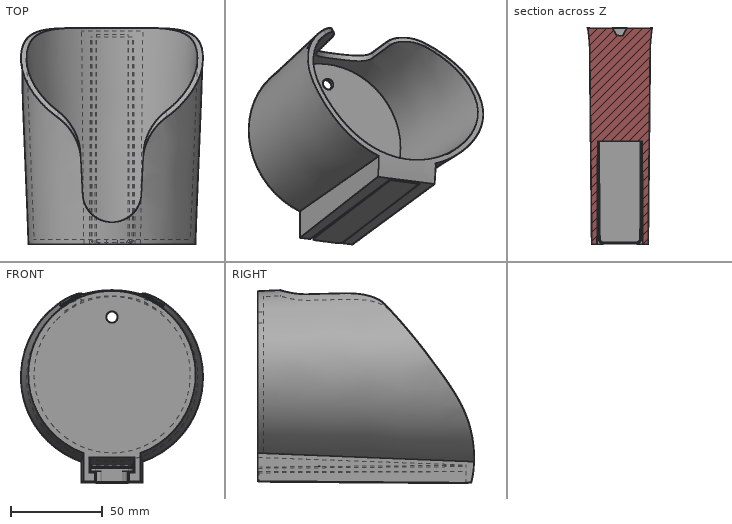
import cadquery as cq
length = 118.0
base_radius = 45.5
cone_slope = 0.041
wall = 3.1
floor_thickness = 3.0
overrun = 5.9

hole_diameter = 6.0
hole_height = 31.3

mouth_corner = (75.8, 31.3)
mouth_curve = [
    (114.5, -65.3),
    (length, -44.8),
    (112.9, -20.6),
    (100.5, 0),
    mouth_corner,
    (36.6, 68.4),
]

notch_start = 12.2
notch_radius = 16.0
notch_bottom = 11.8
notch_top = 59.0
notch_flare = 0.05
notch_corner_radius = 11.8

block_top = -35.4
block_front_half = 15.5
block_back_half = 16.8
block_front_bottom = -58.0
block_back_bottom = -59.0

rail_front = 0.5
rail_back = 114.5
flange_half = 11.6
stem_half = 8.6
flange_bottom = -52.6
rail_front_top = -50.3
rail_back_top = -49.3
rail_front_bottom = -58.5
rail_back_bottom = -59.4
rail_nose_radius = 2.6
rail_nose_chamfer = 0.7

slot_back = 113.3
slot_front_top = -45.1
clearance_front = 0.8
clearance_back = 0.1


def cone_radius(y):
    return base_radius + cone_slope * y


def cone(offset, y_start, y_end):
    """Solid cone on the Y axis, its radius reduced by offset."""
    return (
        cq.Workplane("XY")
        .moveTo(0, y_start)
        .lineTo(offset - cone_radius(y_start), y_start)
        .lineTo(offset - cone_radius(y_end), y_end)
        .lineTo(0, y_end)
        .close()
        .revolve(360, (0, 0, 0), (0, 1, 0))
    )


def loft_between(front_y, front_outline, back_y, back_outline):
    """Ruled solid between two XZ outlines of (x, z) points."""
    wires = []
    for y, outline in ((front_y, front_outline), (back_y, back_outline)):
        wires.append(cq.Wire.makePolygon([cq.Vector(x, y, z) for x, z in outline], close=True))
    return cq.Workplane(cq.Solid.makeLoft(wires, True))


def box_outline(half, bottom, top):
    return [(-half, bottom), (half, bottom), (half, top), (-half, top)]


def tee_outline(top, bottom, clearance):
    """T outline around the rail, widened by clearance at the sides and under the flange."""
    stem = stem_half + clearance
    flange = flange_half + clearance
    shelf = flange_bottom - clearance
    right = [(stem, bottom), (stem, shelf), (flange, shelf), (flange, top)]
    return right + [(-x, z) for x, z in reversed(right)]


def block():
    return loft_between(
        0, box_outline(block_front_half, block_front_bottom, block_top),
        length + overrun, box_outline(block_back_half, block_back_bottom, block_top),
    )


def mouth_cutter():
    """Everything in front of the swept-back mouth curve, drawn in the YZ plane."""
    far = length + 2 * overrun
    half_span = cone_radius(far)
    low_point = mouth_curve[0]
    high_point = mouth_curve[-1]
    return (
        cq.Workplane("YZ", origin=(-half_span, 0, 0))
        .moveTo(*low_point)
        .spline(mouth_curve[1:], includeCurrent=True)
        .lineTo(far, high_point[1])
        .lineTo(far, low_point[1])
        .close()
        .extrude(2 * half_span)
    )


def notch_cutter():
    """Round-ended notch, slightly wider toward the mouth, cut straight down through the upper wall."""
    arc_y = notch_start + notch_radius
    far = length + overrun
    far_half = notch_radius + notch_flare * (far - arc_y)
    return (
        cq.Workplane("XY", origin=(0, 0, notch_bottom))
        .moveTo(-notch_radius, arc_y)
        .threePointArc((0, notch_start), (notch_radius, arc_y))
        .lineTo(far_half, far)
        .lineTo(-far_half, far)
        .close()
        .extrude(notch_top - notch_bottom)
    )


def opening_cutter():
    """Mouth and notch joined, with the corners between them rounded."""
    opening = mouth_cutter().union(notch_cutter())
    for side in (-1, 1):
        corner = cq.selectors.NearestToPointSelector((side * notch_radius, *mouth_corner))
        opening = opening.edges(corner).fillet(notch_corner_radius)
    return opening


def slot_cutter():
    return loft_between(
        0, tee_outline(slot_front_top, block_front_bottom - overrun, clearance_front),
        slot_back, tee_outline(rail_back_top + clearance_back, block_back_bottom - overrun, clearance_back),
    )


def rail():
    body = loft_between(
        rail_front, tee_outline(rail_front_top, rail_front_bottom, 0),
        rail_back, tee_outline(rail_back_top, rail_back_bottom, 0),
    )
    body = body.faces("<Y").edges("|Z").fillet(rail_nose_radius)
    return body.faces("<Y").edges(">Z").chamfer(rail_nose_chamfer)


def air_hole():
    return (
        cq.Workplane("XZ")
        .center(0, hole_height)
        .circle(hole_diameter / 2)
        .extrude(-(floor_thickness + overrun))
    )


cavity = cone(wall, floor_thickness, length + 2 * overrun)
outer = cone(0, 0, length + overrun).union(block())
cup = outer.cut(cavity).cut(opening_cutter()).cut(air_hole())
result = cup.cut(slot_cutter()).union(rail())